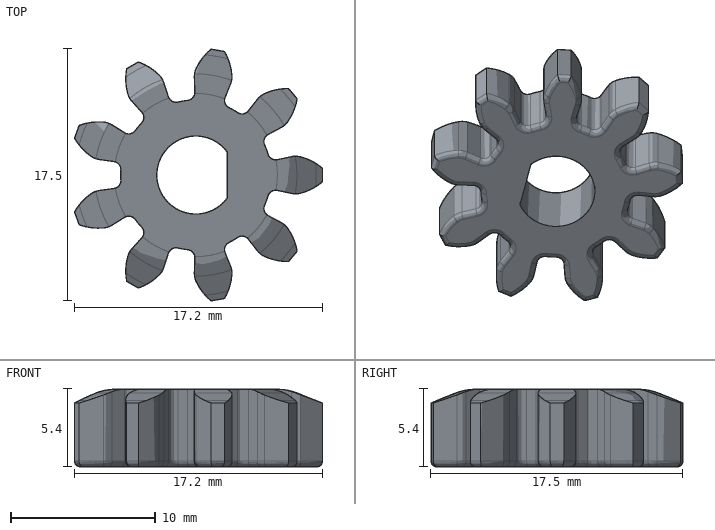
import cadquery as cq
import math

teeth = 9
thickness = 5.4
root_radius = 5.22
bottom_fillet = 0.4

tip_distance = 8.793
tip_half_width = 0.47
crown_start = (6.65, 1.285)
crown_radius = 1.34
root_fillet = 0.55
lower_flank_angle = math.radians(12)
upper_flank_angle = math.radians(-15)

flat_top_radius = 5.66
cone_start_radius = 7.02
cone_end_radius = 8.36
cone_angle = math.radians(21.7)
tip_cone_angle = math.radians(21)
relief_overrun = 0.5
relief_outer_radius = tip_distance + relief_overrun

bore_radius = 2.7
bore_flat = 2.18

pitch_angle = 2 * math.pi / teeth


def rotated(point, angle):
    x, y = point
    return (
        x * math.cos(angle) - y * math.sin(angle),
        x * math.sin(angle) + y * math.cos(angle),
    )


def mirrored(point):
    return (point[0], -point[1])


def along(point, angle, distance):
    return (
        point[0] + distance * math.cos(angle),
        point[1] + distance * math.sin(angle),
    )


def root_fillet_points():
    """Start, middle and end of the fillet from the root circle to the lower flank."""
    normal = lower_flank_angle + math.pi / 2
    flank_offset = crown_start[0] * math.cos(normal) + crown_start[1] * math.sin(normal)
    across = flank_offset + root_fillet
    outward = math.sqrt((root_radius + root_fillet) ** 2 - across**2)
    center = along(along((0, 0), normal, across), lower_flank_angle, outward)

    to_axis = math.atan2(center[1], center[0]) + math.pi
    to_flank = normal + math.pi
    middle_angle = (to_axis + to_flank) / 2
    return [along(center, angle, root_fillet) for angle in (to_axis, middle_angle, to_flank)]


def crown_points():
    """Middle and end of the arc over the widest part of the tooth."""
    center = along(crown_start, lower_flank_angle - math.pi / 2, crown_radius)
    middle_angle = (lower_flank_angle + upper_flank_angle) / 2
    return [
        along(center, angle + math.pi / 2, crown_radius)
        for angle in (middle_angle, upper_flank_angle)
    ]


def upper_flank_middle(start, end):
    """Middle of the arc that leaves start along the upper flank direction and reaches end."""
    run = end[0] - start[0]
    rise = end[1] - start[1]
    chord_angle = math.atan2(rise, run)
    half_turn = upper_flank_angle - chord_angle
    sagitta = math.hypot(run, rise) / 2 * math.tan(half_turn / 2)
    chord_middle = ((start[0] + end[0]) / 2, (start[1] + end[1]) / 2)
    return along(chord_middle, chord_angle + math.pi / 2, sagitta)


def gear_blank():
    root_start, root_middle, root_end = root_fillet_points()
    crown_middle, crown_end = crown_points()
    tip_corner = (tip_distance, tip_half_width)
    flank_middle = upper_flank_middle(crown_end, tip_corner)
    gap_middle = rotated((root_radius, 0), pitch_angle / 2)

    outline = cq.Workplane("XY").moveTo(*mirrored(root_start))
    for tooth in range(teeth):
        turn = tooth * pitch_angle

        def left(point):
            return rotated(point, turn)

        def right(point):
            return rotated(mirrored(point), turn)

        next_root_start = rotated(mirrored(root_start), turn + pitch_angle)
        outline = (
            outline.threePointArc(right(root_middle), right(root_end))
            .lineTo(*right(crown_start))
            .threePointArc(right(crown_middle), right(crown_end))
            .threePointArc(right(flank_middle), right(tip_corner))
            .lineTo(*left(tip_corner))
            .threePointArc(left(flank_middle), left(crown_end))
            .threePointArc(left(crown_middle), left(crown_start))
            .lineTo(*left(root_end))
            .threePointArc(left(root_middle), left(root_start))
            .threePointArc(rotated(gap_middle, turn), next_root_start)
        )
    blank = outline.close().extrude(thickness)
    return blank.faces("<Z").edges().fillet(bottom_fillet)


def tooth_relief():
    """Ring removed from above the outer part of the teeth."""
    rounding_radius = (cone_start_radius - flat_top_radius) / math.sin(cone_angle)
    rounding_center = (flat_top_radius, thickness - rounding_radius)
    rounding_middle = along(rounding_center, (math.pi - cone_angle) / 2, rounding_radius)
    cone_start = along(rounding_center, math.pi / 2 - cone_angle, rounding_radius)
    cone_end_z = cone_start[1] - (cone_end_radius - cone_start_radius) * math.tan(cone_angle)
    outer_z = cone_end_z - (relief_outer_radius - cone_end_radius) * math.tan(tip_cone_angle)
    return (
        cq.Workplane("XZ")
        .moveTo(flat_top_radius, thickness)
        .threePointArc(rounding_middle, cone_start)
        .lineTo(cone_end_radius, cone_end_z)
        .lineTo(relief_outer_radius, outer_z)
        .lineTo(relief_outer_radius, thickness)
        .close()
        .revolve(360, (0, 0, 0), (0, 1, 0))
    )


def bore():
    width = bore_radius + bore_flat
    flat_limit = (
        cq.Workplane("XY")
        .center(bore_flat - width / 2, 0)
        .rect(width, 2 * bore_radius)
        .extrude(thickness)
    )
    return cq.Workplane("XY").circle(bore_radius).extrude(thickness).intersect(flat_limit)


result = gear_blank().cut(tooth_relief()).cut(bore())